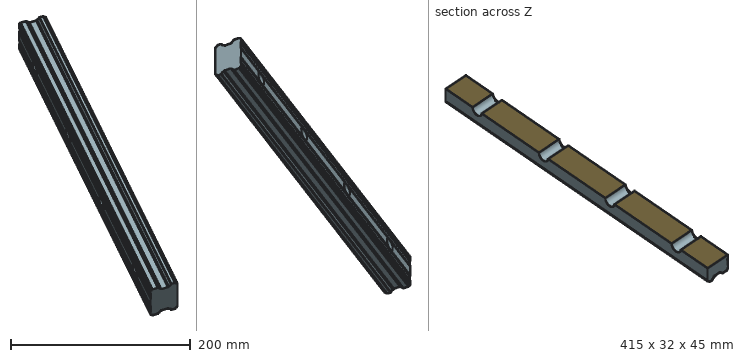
import cadquery as cq
import math

length = 415.0
depth = 32.0
height = 45.0

hole_diameter = 14.0
hole_pitch = 105.0
hole_count = 4
first_hole_offset = 50.0

head_chamfer = 3.2
foot_chamfer = 2.0

raceway_depth = 4.0
raceway_head_y = 8.5
raceway_foot_y = -7.5

ball_groove_upper_drop = 0.3
ball_groove_lower_rise = 1.0
ball_groove_depth = 0.5

relief_depth = 0.5
relief_inner_z = 7.5
relief_outer_z = 15.0

half_length = length / 2
half_depth = depth / 2
half_height = height / 2


def head_flank_point(drop):
    """Point (y, z) on the head-side flank, at a given drop below the rail's top."""
    return raceway_head_y - drop, half_height - drop


def make_half_rail():
    """Upper half (Z >= 0) of the rail, with its raceway and relief groove."""
    floor_z = half_height - raceway_depth
    floor_foot_y = raceway_foot_y + raceway_depth
    relief_floor_y = -half_depth + relief_depth

    ball_end_drop = raceway_depth - ball_groove_lower_rise
    ball_start = head_flank_point(ball_groove_upper_drop)
    ball_end = head_flank_point(ball_end_drop)
    chord_y, chord_z = head_flank_point((ball_groove_upper_drop + ball_end_drop) / 2)
    sink = ball_groove_depth * math.sqrt(0.5)
    ball_middle = (chord_y + sink, chord_z - sink)

    profile = (
        cq.Workplane("YZ", origin=(-half_length, 0, 0))
        .moveTo(-half_depth, 0)
        .lineTo(half_depth, 0)
        .lineTo(half_depth, half_height - head_chamfer)
        .lineTo(half_depth - head_chamfer, half_height)
        .lineTo(raceway_head_y, half_height)
        .lineTo(*ball_start)
        .threePointArc(ball_middle, ball_end)
        .lineTo(*head_flank_point(raceway_depth))
        .lineTo(floor_foot_y, floor_z)
        .lineTo(raceway_foot_y, half_height)
        .lineTo(-half_depth + foot_chamfer, half_height)
        .lineTo(-half_depth, half_height - foot_chamfer)
        .lineTo(-half_depth, relief_outer_z)
        .lineTo(relief_floor_y, relief_outer_z - relief_depth)
        .lineTo(relief_floor_y, relief_inner_z)
        .lineTo(-half_depth, relief_inner_z - relief_depth)
        .close()
    )
    return profile.extrude(length)


def make_holes():
    """Row of plain through holes on the rail's centre line."""
    first_hole_x = -half_length + first_hole_offset
    centres = [(first_hole_x + i * hole_pitch, 0) for i in range(hole_count)]
    return (
        cq.Workplane("XZ", origin=(0, half_depth, 0))
        .pushPoints(centres)
        .circle(hole_diameter / 2)
        .extrude(depth)
    )


upper_half = make_half_rail()
rail = upper_half.union(upper_half.mirror("XY")).clean()
result = rail.cut(make_holes())